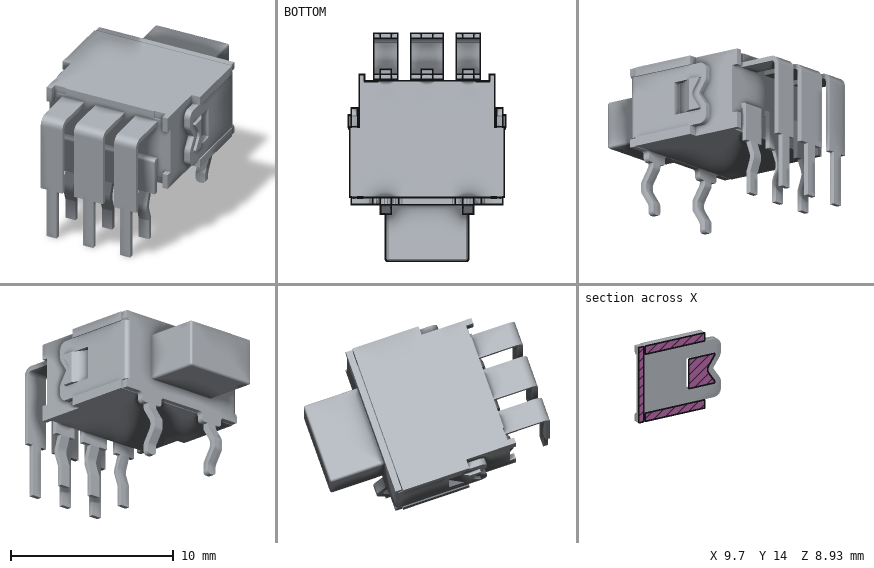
import cadquery as cq
import math


BODY_HALF_X = 4.17
BODY_HALF_Z = 2.51
BODY_FRONT_Y = -0.46
BODY_REAR_Y = -7.61
WING_HALF_X = 4.75
WING_END_Y = -4.76
FOOT_END_Y = -8.0
FOOT_WIDTH = 0.35
FOOT_HEIGHT = 1.0
SPIGOT_HALF_X = 3.92
SPIGOT_HALF_Z = 2.3
SPIGOT_RADIUS = 0.53

RECESS_DEPTH = 0.07
RECESS_WIDTH = 0.8
RECESS_HEIGHT = 0.49
RECESS_LEG_WIDTH = 0.13

SHEET = 0.4
BRACKET_HALF_X = 4.67
ARM_HALF_Z = 1.93
ARM_END_Y = -5.94
ARM_CORNER_RADIUS = 0.49
ARM_BEND_RADIUS = 0.28
EAR_RADIUS = 0.15
NOTCH_Y = -5.38
NOTCH_HALF_ANGLE = math.radians(55)
NOTCH_TIP_RADIUS = 0.08
NOTCH_BLEND_RADIUS = 0.56

TAB_WIDTH = 1.6
TAB_ROOT_RADIUS = 0.2
TAB_CORNER_RADIUS = 0.22
LEG_WIDTH = 0.66
LEG_TIP_RADIUS = 0.22
LEG_KINK = 0.59
LEG_KINK_MIDDLE_Z = -4.55
LEG_KINK_HALF_LENGTH = 1.18
LEG_KINK_HALF_FLAT = 0.25
LEG_BEND_RADIUS = 0.4

WINDOW_FRONT_Y = -3.46
WINDOW_CLEARANCE = 0.04
WINDOW_CORNER_RADIUS = 0.08
LATCH_HALF_X = 4.85
LATCH_HALF_Z = 1.0
LATCH_RAMP_START_Y = -3.5

BUTTON_HALF_X = 2.55
BUTTON_HALF_Z = 1.47
BUTTON_END_Y = 3.49
BUTTON_EDGE_RADIUS = 0.14

POLE_PITCH = 2.54
OUTER_BLADE_WIDTH = 1.5
CENTRE_BLADE_WIDTH = 2.0
PIN_WIDTH = 0.7
TERMINAL_THICKNESS = 0.31
SHOULDER_Z = -3.12
PIN_TIP_Z = -6.42
UPPER_ROW_Y = -10.52
UPPER_ROW_Z = 1.88
UPPER_INNER_RADIUS = 0.24
LOWER_ROW_Z = -0.73
LOWER_BEND_RADIUS = 0.2
PIN_KINK = 0.34
PIN_KINK_END_Z = -5.06
PIN_KINK_RADIUS = 0.7

SIDES = (-1, 1)


def block(x0, x1, y0, y1, z0, z1):
    """Axis-aligned box between two opposite corners given in any order."""
    size = (abs(x1 - x0), abs(y1 - y0), abs(z1 - z0))
    return cq.Workplane("XY").box(*size).translate(((x0 + x1) / 2, (y0 + y1) / 2, (z0 + z1) / 2))


def prism_along_x(outline, x_start, x_end):
    """Prism along X from an outline of (y, z) points."""
    return cq.Workplane("YZ", origin=(x_start, 0, 0)).polyline(outline).close().extrude(x_end - x_start)


def round_corners(solid, corners, radius):
    """Fillet the X-parallel edges that pass through the given (y, z) points."""
    tolerance = 0.001
    chosen = []
    for edge in solid.edges("|X").vals():
        middle = edge.Center()
        if any(math.dist((middle.y, middle.z), corner) < tolerance for corner in corners):
            chosen.append(edge)
    return solid.newObject(chosen).fillet(radius)


def kinked_strip(centre_line, thickness, width, rounded_bends, bend_radius):
    """Downward strip of constant thickness, centred on X = 0, along a line of (y, z) points.

    The bends at the given positions in the line are rounded; the others stay sharp.
    """
    slants = [math.atan2(b[0] - a[0], a[1] - b[1]) for a, b in zip(centre_line, centre_line[1:])]
    slants_above = slants[:1] + slants
    slants_below = slants + slants[-1:]
    front = []
    rear = []
    for (y, z), above, below in zip(centre_line, slants_above, slants_below):
        miter = thickness / 2 / math.cos((above - below) / 2)
        step_y = miter * math.cos((above + below) / 2)
        step_z = miter * math.sin((above + below) / 2)
        front.append((y + step_y, z + step_z))
        rear.append((y - step_y, z - step_z))
    solid = prism_along_x(front + rear[::-1], -width / 2, width / 2)
    corners = [side[bend] for side in (front, rear) for bend in rounded_bends]
    return round_corners(solid, corners, bend_radius)


def body():
    solid = block(-BODY_HALF_X, BODY_HALF_X, BODY_REAR_Y, BODY_FRONT_Y, -BODY_HALF_Z, BODY_HALF_Z)
    spigot = block(-SPIGOT_HALF_X, SPIGOT_HALF_X, BODY_FRONT_Y, -SHEET, -SPIGOT_HALF_Z, SPIGOT_HALF_Z)
    solid = solid.union(spigot.edges("|Y").fillet(SPIGOT_RADIUS))
    recess_y = BODY_REAR_Y + RECESS_DEPTH
    for side_x in SIDES:
        side = side_x * BODY_HALF_X
        foot_inner = side - side_x * FOOT_WIDTH
        recess_end = foot_inner - side_x * RECESS_WIDTH
        recess_leg_end = foot_inner - side_x * RECESS_LEG_WIDTH
        for side_z in SIDES:
            face = side_z * BODY_HALF_Z
            foot_end = face - side_z * FOOT_HEIGHT
            recess_floor = face - side_z * RECESS_HEIGHT
            wing = block(side, side_x * WING_HALF_X, WING_END_Y, BODY_FRONT_Y, side_z * ARM_HALF_Z, face)
            foot = block(side, foot_inner, FOOT_END_Y, recess_y, foot_end, face)
            recess = block(foot_inner, recess_end, BODY_REAR_Y, recess_y, recess_floor, face)
            recess_leg = block(foot_inner, recess_leg_end, BODY_REAR_Y, recess_y, foot_end, face)
            solid = solid.union(wing).union(foot).cut(recess).cut(recess_leg)
    return solid


def window_prism(half_z):
    """Window volume on the +X side; its rear edge carries a V parallel to the notch in the arm end."""
    tip = (NOTCH_Y + SHEET / math.sin(NOTCH_HALF_ANGLE), 0)
    corner_y = tip[0] - half_z / math.tan(NOTCH_HALF_ANGLE)
    rear_corners = [(corner_y, -half_z), (corner_y, half_z)]
    front_corners = [(WINDOW_FRONT_Y, half_z), (WINDOW_FRONT_Y, -half_z)]
    solid = prism_along_x([rear_corners[0], tip, rear_corners[1]] + front_corners, BODY_HALF_X, LATCH_HALF_X)
    solid = round_corners(solid, [tip], NOTCH_TIP_RADIUS + SHEET)
    return round_corners(solid, rear_corners + front_corners, WINDOW_CORNER_RADIUS)


def latch():
    """Latch on the +X side: a ramp rising rearward, then a flat that fills the rear of the window."""
    above_ramp = (
        cq.Workplane("XY", origin=(0, 0, -BODY_HALF_Z))
        .moveTo(BODY_HALF_X, WINDOW_FRONT_Y)
        .lineTo(BODY_HALF_X, LATCH_RAMP_START_Y)
        .lineTo(LATCH_HALF_X, WING_END_Y)
        .lineTo(LATCH_HALF_X, WINDOW_FRONT_Y)
        .close()
        .extrude(2 * BODY_HALF_Z)
    )
    return window_prism(LATCH_HALF_Z).cut(above_ramp)


def arm():
    """Arm on the +X side: runs back from the plate to a notched end and has the latch window."""
    crest_z = (NOTCH_Y - ARM_END_Y) * math.tan(NOTCH_HALF_ANGLE)
    notch = (NOTCH_Y, 0)
    crests = [(ARM_END_Y, crest_z), (ARM_END_Y, -crest_z)]
    corners = [(ARM_END_Y, -ARM_HALF_Z), (ARM_END_Y, ARM_HALF_Z)]
    outline = [(0, ARM_HALF_Z), (0, -ARM_HALF_Z), corners[0], crests[1], notch, crests[0], corners[1]]
    solid = prism_along_x(outline, BRACKET_HALF_X - SHEET, BRACKET_HALF_X)
    solid = round_corners(solid, corners, ARM_CORNER_RADIUS)
    solid = round_corners(solid, crests, NOTCH_BLEND_RADIUS)
    solid = round_corners(solid, [notch], NOTCH_TIP_RADIUS)
    solid = solid.edges("|Z and >Y and >X").fillet(ARM_BEND_RADIUS)
    return solid.cut(window_prism(LATCH_HALF_Z + WINDOW_CLEARANCE))


def plate():
    """Bracket plate with corner ears above and below the arms and two tabs that carry the legs."""
    inner_x = BRACKET_HALF_X - SHEET
    solid = block(-inner_x, inner_x, -SHEET, 0, -BODY_HALF_Z, BODY_HALF_Z)
    upper_ear = block(-BRACKET_HALF_X, BRACKET_HALF_X, -SHEET, 0, ARM_HALF_Z, BODY_HALF_Z)
    upper_ear = upper_ear.edges("|Y and <Z").fillet(EAR_RADIUS)
    solid = solid.union(upper_ear).union(upper_ear.mirror("XY"))
    for side_x in SIDES:
        tab_centre = side_x * POLE_PITCH
        tab_left = tab_centre - TAB_WIDTH / 2
        tab_right = tab_centre + TAB_WIDTH / 2
        tab = block(tab_left, tab_right, -SHEET, 0, SHOULDER_Z, -BODY_HALF_Z)
        solid = solid.union(tab.edges("|Y and <Z").fillet(TAB_CORNER_RADIUS))
        for root_x in (tab_left, tab_right):
            root = cq.selectors.NearestToPointSelector((root_x, -SHEET / 2, -BODY_HALF_Z))
            solid = solid.edges("|Y").edges(root).fillet(TAB_ROOT_RADIUS)
    return solid


def leg():
    """Board leg centred on X = 0: a strip kinked forward, with rounded tip corners."""
    rest_y = -SHEET / 2
    kink_y = rest_y + LEG_KINK
    centre_line = [
        (rest_y, SHOULDER_Z + TAB_CORNER_RADIUS),
        (rest_y, LEG_KINK_MIDDLE_Z + LEG_KINK_HALF_LENGTH),
        (kink_y, LEG_KINK_MIDDLE_Z + LEG_KINK_HALF_FLAT),
        (kink_y, LEG_KINK_MIDDLE_Z - LEG_KINK_HALF_FLAT),
        (rest_y, LEG_KINK_MIDDLE_Z - LEG_KINK_HALF_LENGTH),
        (rest_y, PIN_TIP_Z),
    ]
    solid = kinked_strip(centre_line, SHEET, LEG_WIDTH, (1, 2, 3, 4), LEG_BEND_RADIUS)
    tip = solid.faces("<Z").edges("|Y")
    return tip.fillet(LEG_TIP_RADIUS)


def button():
    solid = block(-BUTTON_HALF_X, BUTTON_HALF_X, -SHEET, BUTTON_END_Y, -BUTTON_HALF_Z, BUTTON_HALF_Z)
    return solid.edges("|Y or >Y").fillet(BUTTON_EDGE_RADIUS)


def upper_terminal(blade_width):
    """Terminal leaving the rear face level and turning down into a straight pin."""
    inner_corner = (UPPER_ROW_Y + TERMINAL_THICKNESS, UPPER_ROW_Z - TERMINAL_THICKNESS)
    outer_corner = (UPPER_ROW_Y, UPPER_ROW_Z)
    outline = [
        (BODY_REAR_Y, UPPER_ROW_Z),
        outer_corner,
        (UPPER_ROW_Y, SHOULDER_Z),
        (inner_corner[0], SHOULDER_Z),
        inner_corner,
        (BODY_REAR_Y, inner_corner[1]),
    ]
    blade = prism_along_x(outline, -blade_width / 2, blade_width / 2)
    blade = round_corners(blade, [inner_corner], UPPER_INNER_RADIUS)
    blade = round_corners(blade, [outer_corner], UPPER_INNER_RADIUS + TERMINAL_THICKNESS)
    pin = block(-PIN_WIDTH / 2, PIN_WIDTH / 2, UPPER_ROW_Y, inner_corner[0], PIN_TIP_Z, SHOULDER_Z)
    return blade.union(pin)


def lower_terminal(blade_width):
    """Terminal turning down close to the rear face, flush with the feet, into a kinked pin."""
    front_y = FOOT_END_Y + TERMINAL_THICKNESS
    outer_corner = (FOOT_END_Y, LOWER_ROW_Z)
    outline = [
        (BODY_REAR_Y, LOWER_ROW_Z),
        outer_corner,
        (FOOT_END_Y, SHOULDER_Z),
        (front_y, SHOULDER_Z),
        (front_y, LOWER_ROW_Z - TERMINAL_THICKNESS),
        (BODY_REAR_Y, LOWER_ROW_Z - TERMINAL_THICKNESS),
    ]
    blade = prism_along_x(outline, -blade_width / 2, blade_width / 2)
    blade = round_corners(blade, [outer_corner], LOWER_BEND_RADIUS)
    rest_y = FOOT_END_Y + TERMINAL_THICKNESS / 2
    centre_line = [
        (rest_y, SHOULDER_Z + TERMINAL_THICKNESS),
        (rest_y, SHOULDER_Z),
        (rest_y - PIN_KINK, (SHOULDER_Z + PIN_KINK_END_Z) / 2),
        (rest_y, PIN_KINK_END_Z),
        (rest_y, PIN_TIP_Z),
    ]
    pin = kinked_strip(centre_line, TERMINAL_THICKNESS, PIN_WIDTH, (2,), PIN_KINK_RADIUS)
    return blade.union(pin)


result = body().union(plate()).union(button())

for side_part in (arm(), latch()):
    result = result.union(side_part).union(side_part.mirror("YZ"))

for side in SIDES:
    result = result.union(leg().translate((side * POLE_PITCH, 0, 0)))

for pole, width in ((-1, OUTER_BLADE_WIDTH), (0, CENTRE_BLADE_WIDTH), (1, OUTER_BLADE_WIDTH)):
    offset = (pole * POLE_PITCH, 0, 0)
    result = result.union(upper_terminal(width).translate(offset))
    result = result.union(lower_terminal(width).translate(offset))